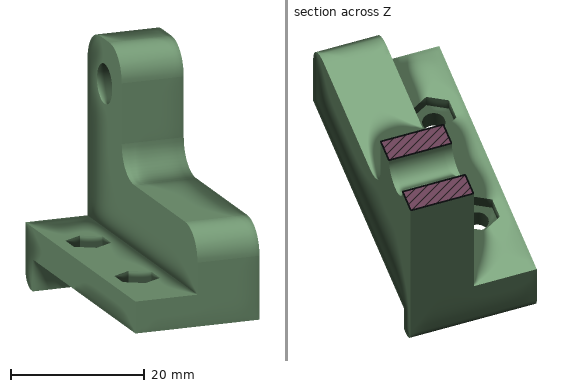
import cadquery as cq
import math

length = 45.0
lip_drop = 5.0
lip_width = 3.0
lip_radius = 2.5
flange_thickness = 5.0
flange_depth = 10.0
wall_thickness = 10.0
total_depth = flange_depth + wall_thickness

total_height = 39.5
low_wall_height = 20.0
upright_width = 14.0
wall_radius = 5.0

cross_hole_diameter = 6.25
cross_hole_x = upright_width / 2
cross_hole_z = total_height - upright_width / 2

screw_diameter = 3.5
nut_sides = 6
nut_across_flats = 6.0
nut_across_corners = nut_across_flats / math.cos(math.pi / nut_sides)
nut_pocket_depth = 2.0
first_screw_x = 13.0
screw_spacing = 20.0
screw_count = 2
screw_y = flange_depth / 2

flange_top = lip_drop + flange_thickness


def block(x_size, y_start, y_end, z_start, z_end):
    """Box starting at x = 0 with the given Y and Z limits."""
    size = (x_size, y_end - y_start, z_end - z_start)
    return cq.Workplane("XY").box(*size, centered=False).translate((0, y_start, z_start))


def make_wall():
    """L-shaped wall at the back, rounded at its corners."""
    outline = (
        cq.Workplane("XZ", origin=(0, total_depth, 0))
        .moveTo(0, lip_drop)
        .lineTo(length, lip_drop)
        .lineTo(length, low_wall_height - wall_radius)
        .radiusArc((length - wall_radius, low_wall_height), -wall_radius)
        .lineTo(upright_width + wall_radius, low_wall_height)
        .radiusArc((upright_width, low_wall_height + wall_radius), wall_radius)
        .lineTo(upright_width, total_height - wall_radius)
        .radiusArc((upright_width - wall_radius, total_height), -wall_radius)
        .lineTo(wall_radius, total_height)
        .radiusArc((0, total_height - wall_radius), -wall_radius)
        .close()
    )
    return outline.extrude(wall_thickness)


def make_flange():
    """Flat mounting flange in front of the wall."""
    return block(length, 0, flange_depth, lip_drop, flange_top)


def make_lip():
    """Locating lip under the x = 0 end, rounded along its outer bottom edge."""
    lip = block(lip_width, 0, total_depth, 0, lip_drop)
    return lip.edges("|Y and <X and <Z").fillet(lip_radius)


def make_cross_hole():
    """Through hole along Y in the upright."""
    return (
        cq.Workplane("XZ", origin=(cross_hole_x, total_depth, cross_hole_z))
        .circle(cross_hole_diameter / 2)
        .extrude(total_depth)
    )


def make_screw_hole(x):
    """Through hole along Z with a nut pocket sunk from the flange top."""
    top = cq.Workplane("XY", origin=(x, screw_y, flange_top))
    shank = top.circle(screw_diameter / 2).extrude(-flange_thickness)
    pocket = top.polygon(nut_sides, nut_across_corners).extrude(-nut_pocket_depth)
    return shank.union(pocket)


result = make_wall().union(make_flange()).union(make_lip()).cut(make_cross_hole())
for index in range(screw_count):
    result = result.cut(make_screw_hole(first_screw_x + index * screw_spacing))
result = result.clean()